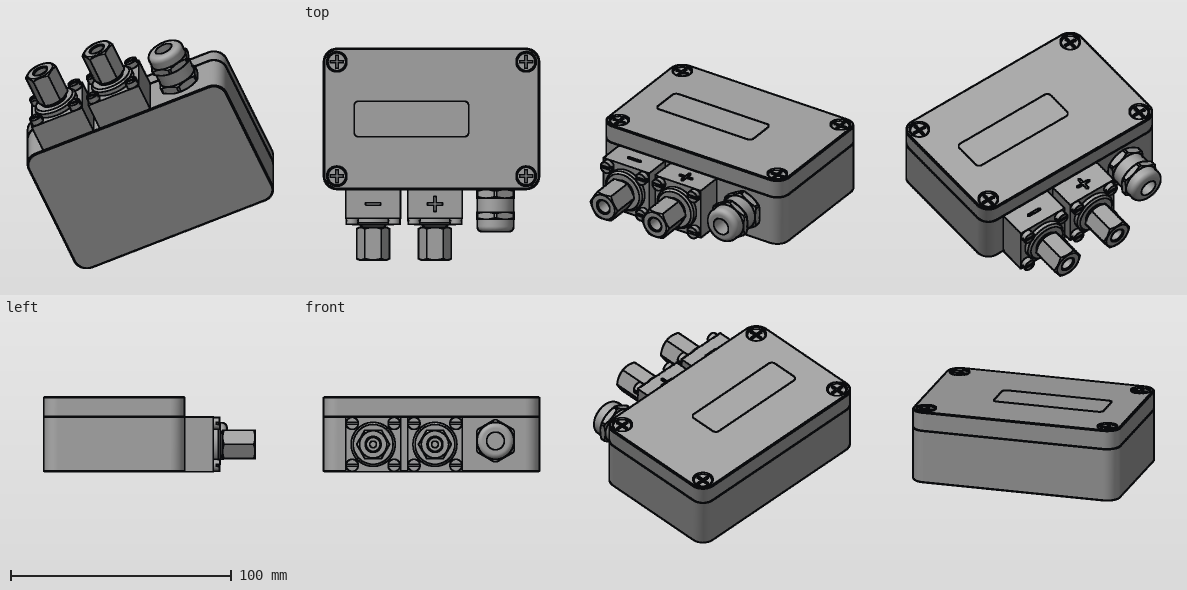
import cadquery as cq
import math


box_width = 98.0
box_depth = 64.0
base_height = 25.0
lid_height = 9.0
corner_radius = 6.3
edge_chamfer = 0.5
seam_chamfer = 0.2

cover_screw_inset = 6.1
cover_screw_rim_diameter = 9.2
cover_screw_head_diameter = 8.0
cross_length = 6.0
cross_width = 1.1
cross_depth = 1.5

label_width = 51.9
label_height = 16.1
label_corner_radius = 2.0
label_center_x = -9.1
label_depth = 0.2

block_size = 24.9
block_depth = 13.0
left_port_x = -26.5
port_spacing = 28.0
port_z = block_size / 2
mark_length = 7.1
mark_width = 1.2
mark_depth = 0.2

flange_screw_diameter = 5.5
flange_screw_height = 2.7
flange_screw_spacing = 19.0
screw_slot_width = 1.0
screw_slot_depth = 1.6

flange_diameter = 20.0
flange_thickness = 3.0
flange_chamfer = 1.0
neck_wide_diameter = 12.0
neck_narrow_diameter = 9.7
neck_length = 1.0
port_hex_across_flats = 12.9
port_hex_length = 15.0
port_hex_face_diameter = 12.3
port_bore_diameter = 6.3
port_bore_depth = 9.8
port_countersink = 0.5
port_passage_diameter = 3.0

gland_x = 29.0
gland_z = 14.0
gland_length = 19.2
gland_diameter = 16.7
gland_nose_radius = 2.45
gland_bore_diameter = 8.0
gland_hex_across_flats = 17.1
gland_hex_corner_diameter = 19.1
gland_hex_face_diameter = 16.9
rear_hex_length = 3.9
front_hex_start = 10.2
front_hex_length = 3.3

hex_chamfer_angle = 30
hex_flat_on_top = 0
hex_corner_on_top = 30
bevel_angle = 45


def front_plane(x, z, distance):
    """Work plane facing -Y at the given distance in front of the enclosure wall."""
    return cq.Workplane(cq.Plane(origin=(x, -distance, z), xDir=(1, 0, 0), normal=(0, -1, 0)))


def enclosure_block(bottom, height):
    """Block with rounded vertical corners and the footprint of the enclosure."""
    return (
        cq.Workplane("XY", origin=(0, box_depth / 2, bottom))
        .rect(box_width, box_depth)
        .extrude(height)
        .edges("|Z")
        .fillet(corner_radius)
    )


def make_base():
    base = enclosure_block(0, base_height)
    return base.faces("<Z").chamfer(edge_chamfer).faces(">Z").chamfer(seam_chamfer)


def make_lid():
    lid = enclosure_block(base_height, lid_height)
    lid = lid.faces(">Z").chamfer(edge_chamfer).faces("<Z").chamfer(seam_chamfer)
    top_center = (0, box_depth / 2, base_height + lid_height)

    label = (
        cq.Workplane("XY", origin=top_center)
        .center(label_center_x, 0)
        .rect(label_width, label_height)
        .extrude(-label_depth)
        .edges("|Z")
        .fillet(label_corner_radius)
    )
    lid = lid.cut(label)

    dish_depth = (cover_screw_rim_diameter - cover_screw_head_diameter) / 2
    screw_centers = cq.Workplane("XY", origin=top_center).rect(
        box_width - 2 * cover_screw_inset, box_depth - 2 * cover_screw_inset, forConstruction=True
    ).vertices()
    dishes = screw_centers.circle(cover_screw_rim_diameter / 2).extrude(-dish_depth, taper=bevel_angle)
    cross_bottom_depth = dish_depth + cross_depth
    lid = lid.cut(dishes)
    for length, width in ((cross_length, cross_width), (cross_width, cross_length)):
        lid = lid.cut(screw_centers.rect(length, width).extrude(-cross_bottom_depth))
    return lid


def make_port_block(port_x, mark_angles):
    """Square block with four slotted screw heads and a mark of one groove per angle on its top."""
    block = front_plane(port_x, port_z, 0).rect(block_size, block_size).extrude(block_depth)

    screw_centers = front_plane(port_x, port_z, block_depth).rect(
        flange_screw_spacing, flange_screw_spacing, forConstruction=True
    ).vertices()
    block = block.union(screw_centers.circle(flange_screw_diameter / 2).extrude(flange_screw_height))
    slot_centers = front_plane(port_x, port_z, block_depth + flange_screw_height).rect(
        flange_screw_spacing, flange_screw_spacing, forConstruction=True
    ).vertices()
    block = block.cut(slot_centers.rect(flange_screw_diameter, screw_slot_width).extrude(-screw_slot_depth))

    for angle in mark_angles:
        groove = (
            cq.Workplane("XY", origin=(port_x, -block_depth / 2, block_size))
            .slot2D(mark_length, mark_width, angle)
            .extrude(-mark_depth)
        )
        block = block.cut(groove)
    return block


def turned_chamfered_bar(x, z, start, length, diameter, face_diameter):
    """Round bar along Y with both ends chamfered down to the face diameter."""
    chamfer_width = (diameter - face_diameter) / 2
    chamfer_length = chamfer_width * math.tan(math.radians(hex_chamfer_angle))
    bar = front_plane(x, z, start).circle(diameter / 2).extrude(length)
    return bar.faces("<Y or >Y").edges().chamfer(chamfer_length, chamfer_width)


def across_corners(across_flats):
    """Corner-to-corner width of a regular hexagon."""
    return across_flats / math.cos(math.pi / 6)


def make_hex(x, z, start, length, across_flats, corner_diameter, face_diameter, turn):
    """Hexagonal nut along Y whose corners are turned to a diameter and chamfered at both ends."""
    prism = (
        front_plane(x, z, start)
        .transformed(rotate=(0, 0, turn))
        .polygon(6, across_corners(across_flats))
        .extrude(length)
    )
    return prism.intersect(turned_chamfered_bar(x, z, start, length, corner_diameter, face_diameter))


def make_port_fitting(port_x):
    flange = (
        front_plane(port_x, port_z, block_depth)
        .circle(flange_diameter / 2)
        .extrude(flange_thickness)
        .faces("<Y")
        .chamfer(flange_chamfer)
    )
    neck_start = block_depth + flange_thickness
    neck = (
        front_plane(port_x, port_z, neck_start)
        .circle(neck_wide_diameter / 2)
        .workplane(offset=neck_length)
        .circle(neck_narrow_diameter / 2)
        .loft()
    )
    hex_start = neck_start + neck_length
    hexagon = make_hex(
        port_x, port_z, hex_start, port_hex_length,
        port_hex_across_flats, across_corners(port_hex_across_flats), port_hex_face_diameter, hex_flat_on_top,
    )
    fitting = flange.union(neck).union(hexagon)

    hex_end = hex_start + port_hex_length
    bore = front_plane(port_x, port_z, hex_end).circle(port_bore_diameter / 2).extrude(-port_bore_depth)
    countersink = (
        front_plane(port_x, port_z, hex_end)
        .circle(port_bore_diameter / 2 + port_countersink)
        .extrude(-port_countersink, taper=bevel_angle)
    )
    passage = front_plane(port_x, port_z, block_depth).circle(port_passage_diameter / 2)
    return fitting.cut(bore).cut(countersink).cut(passage.extrude(hex_end - block_depth))


def make_cable_gland():
    gland = (
        front_plane(gland_x, gland_z, 0)
        .circle(gland_diameter / 2)
        .extrude(gland_length)
        .faces("<Y")
        .edges()
        .fillet(gland_nose_radius)
    )
    for start, length in ((0, rear_hex_length), (front_hex_start, front_hex_length)):
        gland = gland.union(make_hex(
            gland_x, gland_z, start, length,
            gland_hex_across_flats, gland_hex_corner_diameter, gland_hex_face_diameter, hex_corner_on_top,
        ))
    bore = front_plane(gland_x, gland_z, 0).circle(gland_bore_diameter / 2).extrude(gland_length)
    return gland.cut(bore)


base = make_base()
lid = make_lid()
cable_gland = make_cable_gland()

port_bodies = []
for index, mark_angles in enumerate(((0,), (0, 90))):
    port_x = left_port_x + index * port_spacing
    port_bodies.append(make_port_block(port_x, mark_angles).val())
    port_bodies.append(make_port_fitting(port_x).val())

result = cq.Compound.makeCompound([base.val(), lid.val(), cable_gland.val(), *port_bodies])